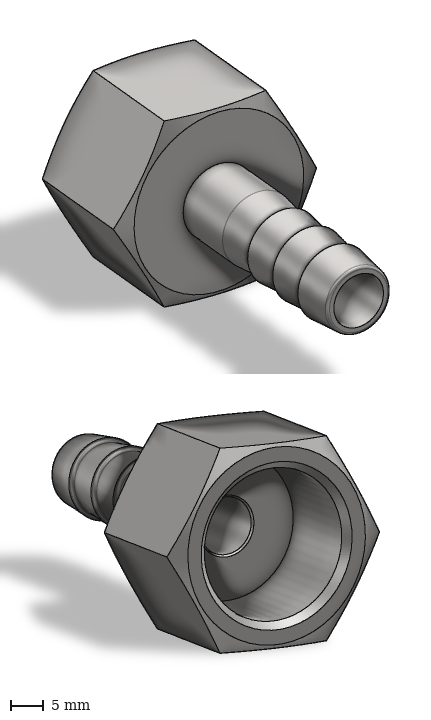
import cadquery as cq
import math

TOTAL_LENGTH = 61.0

NUT_LENGTH = 22.0
NUT_ACROSS_FLATS = 32.0
NUT_CORNER_RADIUS = NUT_ACROSS_FLATS / math.sqrt(3)
NUT_FACE_RADIUS = 15.45
NUT_CORNER_SETBACK = 1.1
NUT_BORE_RADIUS = 11.95
NUT_BORE_CHAMFER = 1.15
NUT_BACK_WALL = 3.05

SHANK_DIAMETER = 13.0
SHANK_RADIUS = SHANK_DIAMETER / 2
COLLAR_RADIUS = 11.65
COLLAR_THICKNESS = 3.0
TAIL_BORE_RADIUS = 4.5
TAIL_BORE_CHAMFER = 0.3

BARB_COUNT = 4
BARB_START = 33.0
BARB_PITCH = (TOTAL_LENGTH - BARB_START) / BARB_COUNT
BARB_ROOT_RADIUS = 5.75
BARB_ROOT_FILLET = 0.5
TIP_FILLET = 0.5

COLLAR_BACK = NUT_LENGTH - NUT_BACK_WALL
COLLAR_FRONT = COLLAR_BACK - COLLAR_THICKNESS


def revolve_about_x(profile):
    """Turn a closed outline of (x, radius) points about the X axis."""
    return cq.Workplane("XZ").polyline(profile).close().revolve(360, (0, 0, 0), (1, 0, 0))


def make_corner_chamfer_envelope():
    """Turned blank whose coned ends trim the hexagon corners."""
    return revolve_about_x([
        (0, 0),
        (0, NUT_FACE_RADIUS),
        (NUT_CORNER_SETBACK, NUT_CORNER_RADIUS),
        (NUT_LENGTH - NUT_CORNER_SETBACK, NUT_CORNER_RADIUS),
        (NUT_LENGTH, NUT_FACE_RADIUS),
        (NUT_LENGTH, 0),
    ])


def make_nut_cavity():
    """Chamfered bore for the collar, then a close hole for the shank."""
    return revolve_about_x([
        (0, 0),
        (0, NUT_BORE_RADIUS + NUT_BORE_CHAMFER),
        (NUT_BORE_CHAMFER, NUT_BORE_RADIUS),
        (COLLAR_BACK, NUT_BORE_RADIUS),
        (COLLAR_BACK, SHANK_RADIUS),
        (NUT_LENGTH, SHANK_RADIUS),
        (NUT_LENGTH, 0),
    ])


def make_nut():
    hexagon = cq.Workplane("YZ").polygon(6, 2 * NUT_CORNER_RADIUS).extrude(NUT_LENGTH)
    return hexagon.intersect(make_corner_chamfer_envelope()).cut(make_nut_cavity())


def barb_outline():
    """Points of the barbs from the shank to the tip: each tapers, then steps square to the next."""
    points = []
    for index in range(BARB_COUNT):
        crest = BARB_START + index * BARB_PITCH
        points.append((crest, SHANK_RADIUS))
        points.append((crest + BARB_PITCH, BARB_ROOT_RADIUS))
    return points


def is_barb_root(edge):
    return math.isclose(edge.radius(), BARB_ROOT_RADIUS, abs_tol=0.0005)


def round_barb_edges(tail):
    """Round the outer edge of the tip and fillet the root at each barb step."""
    tip_rounded = tail.faces(">X").edges("%CIRCLE").filter(is_barb_root).fillet(TIP_FILLET)
    return tip_rounded.edges("%CIRCLE").filter(is_barb_root).fillet(BARB_ROOT_FILLET)


def make_hose_tail():
    tail = revolve_about_x([
        (COLLAR_FRONT + TAIL_BORE_CHAMFER, TAIL_BORE_RADIUS),
        (COLLAR_FRONT, TAIL_BORE_RADIUS + TAIL_BORE_CHAMFER),
        (COLLAR_FRONT, COLLAR_RADIUS),
        (COLLAR_BACK, COLLAR_RADIUS),
        (COLLAR_BACK, SHANK_RADIUS),
        *barb_outline(),
        (TOTAL_LENGTH, TAIL_BORE_RADIUS),
    ])
    return round_barb_edges(tail)


nut = make_nut()
hose_tail = make_hose_tail()
result = cq.Compound.makeCompound([nut.val(), hose_tail.val()])